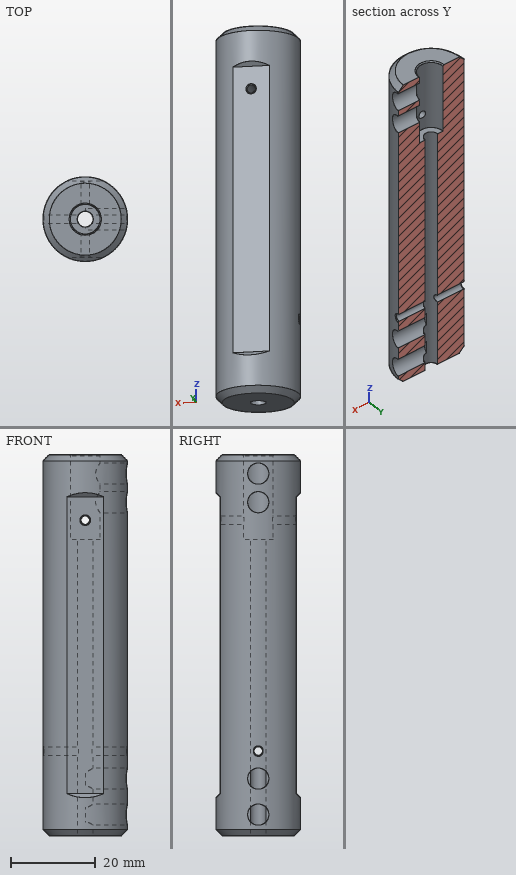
import cadquery as cq

body_diameter = 20.0
body_length = 90.0
end_chamfer = 1.5
body_radius = body_diameter / 2

flat_offset = 9.0
flat_length = 70.0
flat_depth = body_radius - flat_offset
flat_center_z = body_length / 2

bore_diameter = 7.0
bore_rim_diameter = 7.6
bore_depth = 20.0
passage_diameter = 3.7

port_diameter = 5.0
port_heights = (5.0, 13.5, 78.75, 85.5)

cross_hole_diameter = 2.0
cross_hole_rim_diameter = 2.5
y_hole_height = 74.5
x_hole_height = 20.0


def make_body():
    return (
        cq.Workplane("XY")
        .circle(body_radius)
        .extrude(body_length)
        .faces("<Z or >Z")
        .chamfer(end_chamfer)
    )


def flat_cutter(side):
    """Trapezoidal prism along X that removes one flat; side is -1 or +1 in Y."""
    half_floor = flat_length / 2
    half_mouth = half_floor + flat_depth
    return (
        cq.Workplane("YZ")
        .polyline([
            (side * flat_offset, flat_center_z - half_floor),
            (side * body_radius, flat_center_z - half_mouth),
            (side * body_radius, flat_center_z + half_mouth),
            (side * flat_offset, flat_center_z + half_floor),
        ])
        .close()
        .extrude(body_radius, both=True)
    )


def axial_bore_cutter():
    """Solid of revolution about Z: rim chamfer, bore and passage."""
    bore_radius = bore_diameter / 2
    rim_radius = bore_rim_diameter / 2
    passage_radius = passage_diameter / 2
    bore_floor_z = body_length - bore_depth
    rim_chamfer = rim_radius - bore_radius
    return (
        cq.Workplane("XZ")
        .polyline([
            (0, 0),
            (passage_radius, 0),
            (passage_radius, bore_floor_z),
            (bore_radius, bore_floor_z),
            (bore_radius, body_length - rim_chamfer),
            (rim_radius, body_length),
            (0, body_length),
        ])
        .close()
        .revolve(360, (0, 0), (0, 1))
    )


def port_cutter(height):
    """Radial hole from the axis out through the +X side."""
    return cq.Workplane("YZ").center(0, height).circle(port_diameter / 2).extrude(body_radius)


def cross_hole_cutter(half_span):
    """Hole through the body along Z with 45 degree rims at +/- half_span from the axis."""
    hole_radius = cross_hole_diameter / 2
    rim_radius = cross_hole_rim_diameter / 2
    rim_depth = rim_radius - hole_radius
    return (
        cq.Workplane("XZ")
        .polyline([
            (0, -half_span),
            (rim_radius, -half_span),
            (hole_radius, rim_depth - half_span),
            (hole_radius, half_span - rim_depth),
            (rim_radius, half_span),
            (0, half_span),
        ])
        .close()
        .revolve(360, (0, 0), (0, 1))
    )


result = make_body()
for flat_side in (-1, 1):
    result = result.cut(flat_cutter(flat_side))
result = result.cut(axial_bore_cutter())
for port_height in port_heights:
    result = result.cut(port_cutter(port_height))

y_hole = cross_hole_cutter(flat_offset).rotate((0, 0, 0), (1, 0, 0), 90)
result = result.cut(y_hole.translate((0, 0, y_hole_height)))
x_hole = cross_hole_cutter(body_radius).rotate((0, 0, 0), (0, 1, 0), 90)
result = result.cut(x_hole.translate((0, 0, x_hole_height)))